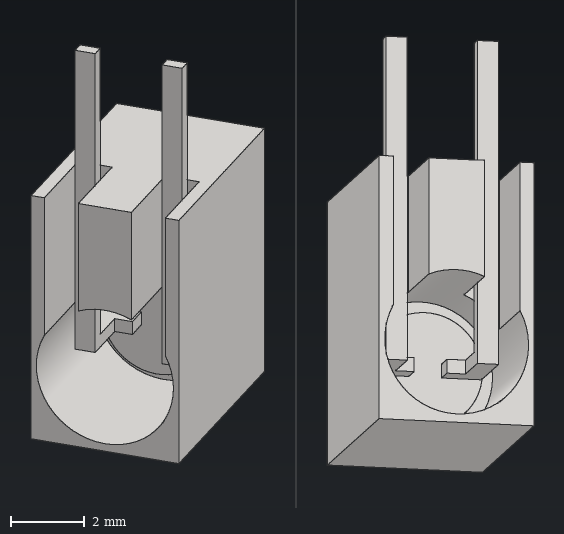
import cadquery as cq

housing_width = 4.32
housing_depth = 6.32
housing_height = 7.29

axis_height = 2.23
bore_radius = 2.0
bore_depth = 4.39

flange_radius = 1.59
flange_thickness = 0.55
lens_radius = 1.42
total_length = 8.89

lead_spacing = 2.54
lead_width = 0.59
lead_thickness = 0.38
lead_front = 1.75
lead_top = 10.98
lead_bottom = 2.03
lead_root_width = 1.11
lead_root_length = 0.66
slot_width = 0.99
slot_depth = 2.49

flange_front = bore_depth - flange_thickness
lens_center = total_length - lens_radius


def box(x_range, y_range, z_range):
    """Axis-aligned box between the given limits."""
    sizes = [high - low for low, high in (x_range, y_range, z_range)]
    corner = (x_range[0], y_range[0], z_range[0])
    return cq.Workplane("XY").box(*sizes, centered=False).translate(corner)


def cylinder(radius, y_start, y_end):
    """Cylinder on the bore axis."""
    return (
        cq.Workplane("XZ", origin=(0, y_start, axis_height))
        .circle(radius)
        .extrude(y_start - y_end)
    )


def make_housing():
    """Block with a round bore and two lead slots open to the front and top."""
    block = box(
        (-housing_width / 2, housing_width / 2),
        (0, housing_depth),
        (0, housing_height),
    ).cut(cylinder(bore_radius, 0, bore_depth))
    for lead_x in (-lead_spacing / 2, lead_spacing / 2):
        slot = box(
            (lead_x - slot_width / 2, lead_x + slot_width / 2),
            (0, slot_depth),
            (axis_height, housing_height),
        )
        block = block.cut(slot)
    return block


def make_led():
    """Flange seated on the bore floor and a lens with a hemispherical tip."""
    flange = cylinder(flange_radius, flange_front, bore_depth)
    lens = cylinder(lens_radius, bore_depth, lens_center)
    dome = cq.Workplane("XY").sphere(lens_radius).translate((0, lens_center, axis_height))
    return flange.union(lens).union(dome)


def make_left_lead():
    """Lead with a wide root at the flange, a run along Y and an upright leg."""
    outer_x = -(lead_spacing + lead_width) / 2
    lead_x = (outer_x, outer_x + lead_width)
    root_x = (outer_x, outer_x + lead_root_width)
    run_z = (lead_bottom, lead_bottom + lead_thickness)
    leg = box(lead_x, (lead_front, lead_front + lead_thickness), (lead_bottom, lead_top))
    run = box(lead_x, (lead_front, flange_front), run_z)
    root = box(root_x, (flange_front - lead_root_length, flange_front), run_z)
    return leg.union(run).union(root)


left_lead = make_left_lead()
right_lead = left_lead.mirror("YZ")
result = make_housing().union(make_led()).union(left_lead).union(right_lead)